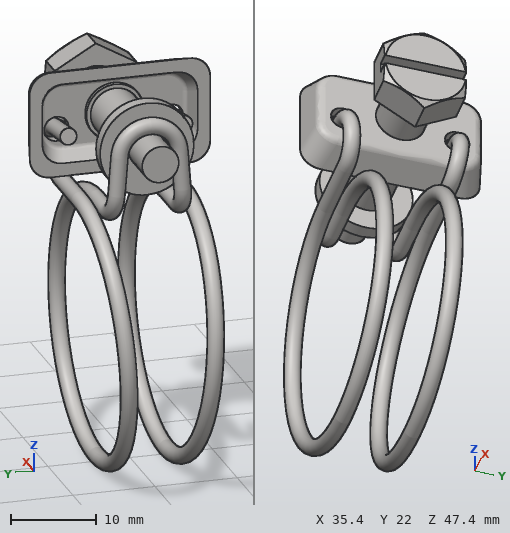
import cadquery as cq
import math


wire_dia = 2.0
wire_radius = wire_dia / 2
ring_radius = 16.0
inner_run_y = 4.25
outer_run_y = 6.3
inner_run_length = 4.2
inner_bend_radius = 3.0
leg_lean = math.radians(4.5)
hook_start_x = 7.5
hook_radius = 3.2
hook_turn = math.radians(171.5)
hook_lean = math.radians(6.0)
tail_length = 6.0

overall_top_z = 30.35
screw_end_x = 18.4
screw_length = 30.0
head_thickness = 4.1
head_across_flats = 10.0
head_corner_radius = head_across_flats / 2 / math.cos(math.radians(30))
head_face_radius = 4.9
head_chamfer_length = 0.6
slot_width = 1.2
slot_depth = 1.65
shank_dia = 6.0
tip_dia = 4.45
collar_dia = 11.4
collar_thickness = 1.7

bridge_width = 22.0
bridge_height = 13.0
bridge_depth = 4.0
bridge_rim_x = 4.6
bridge_wall = 1.5
bridge_corner_radius = 2.5
side_taper = math.radians(15.0)
top_taper = math.radians(20.0)
bridge_edge_fillet = 1.0
pocket_floor_fillet = 0.5
screw_hole_dia = shank_dia
screw_boss_dia = 7.0
screw_boss_height = 0.6
tail_hole_dia = 3.0

screw_z = overall_top_z - bridge_height / 2
loop_plane_x = -inner_run_length - inner_bend_radius
collar_x = loop_plane_x + wire_radius
hook_top_rise = hook_radius * (1 - math.cos(hook_turn))
tail_hole_y = outer_run_y + hook_top_rise * math.sin(hook_lean)
tail_hole_z = ring_radius + hook_top_rise * math.cos(hook_lean)


def leaning_point(x, rise, run_y, lean):
    """Point at a height `rise` above a straight run, in a plane leaning outwards about that run."""
    return cq.Vector(x, run_y + rise * math.sin(lean), ring_radius + rise * math.cos(lean))


def wire_half_path():
    """Centreline on the +Y side: tail, hook, ring, bend, leg and half of the loop."""

    def hook_point(turn):
        x = hook_start_x + hook_radius * math.sin(turn)
        return leaning_point(x, hook_radius * (1 - math.cos(turn)), outer_run_y, hook_lean)

    hook_end = hook_point(hook_turn)
    tail_end = leaning_point(
        hook_end.x + tail_length * math.cos(hook_turn),
        hook_top_rise + tail_length * math.sin(hook_turn),
        outer_run_y,
        hook_lean,
    )
    tail = cq.Edge.makeLine(tail_end, hook_end)
    hook = cq.Edge.makeThreePointArc(hook_end, hook_point(hook_turn / 2), hook_point(0))

    outer_top = cq.Vector(0, outer_run_y, ring_radius)
    ring_bottom = cq.Vector(0, inner_run_y, -ring_radius)
    inner_top = cq.Vector(0, inner_run_y, ring_radius)
    crossing_radius = math.hypot(ring_radius, (outer_run_y - inner_run_y) / 2)
    crossing_middle = cq.Vector(-crossing_radius, (outer_run_y + inner_run_y) / 2, 0)
    outer_run = cq.Edge.makeLine(hook_point(0), outer_top)
    descending_half = cq.Edge.makeThreePointArc(outer_top, crossing_middle, ring_bottom)
    rising_half = cq.Edge.makeThreePointArc(ring_bottom, cq.Vector(ring_radius, inner_run_y, 0), inner_top)

    def bend_point(turn):
        x = -inner_run_length - inner_bend_radius * math.sin(turn)
        return leaning_point(x, inner_bend_radius * (1 - math.cos(turn)), inner_run_y, -leg_lean)

    bend_end = bend_point(math.pi / 2)
    inner_run = cq.Edge.makeLine(inner_top, bend_point(0))
    bend = cq.Edge.makeThreePointArc(bend_point(0), bend_point(math.pi / 4), bend_end)

    loop_top_z = screw_z + tip_dia / 2 + wire_radius
    loop_rise = loop_top_z - ring_radius
    leg_offset = inner_run_y * math.cos(leg_lean) - loop_rise * math.sin(leg_lean)
    loop_radius = leg_offset / (1 - math.sin(leg_lean))

    def loop_point(angle):
        z = loop_top_z - loop_radius + loop_radius * math.sin(angle)
        return cq.Vector(loop_plane_x, loop_radius * math.cos(angle), z)

    leg = cq.Edge.makeLine(bend_end, loop_point(leg_lean))
    loop_middle_angle = (leg_lean + math.pi / 2) / 2
    half_loop = cq.Edge.makeThreePointArc(
        loop_point(leg_lean), loop_point(loop_middle_angle), loop_point(math.pi / 2)
    )
    edges = [tail, hook, outer_run, descending_half, rising_half, inner_run, bend, leg, half_loop]
    return cq.Wire.assembleEdges(edges)


def make_wire_clamp():
    path = wire_half_path()
    section_plane = cq.Plane(origin=path.startPoint(), xDir=(0, 1, 0), normal=path.tangentAt(0))
    half = cq.Workplane(section_plane).circle(wire_radius).sweep(cq.Workplane(obj=path))
    return half.union(half.mirror("XZ"))


def cylinder_along_x(diameter, start_x, end_x, y=0.0, z=screw_z):
    plane = cq.Workplane("YZ", origin=(start_x, y, z))
    return plane.circle(diameter / 2).extrude(end_x - start_x)


def make_screw():
    """Slotted hexagon screw with a collar and a reduced tip."""
    head_x = screw_end_x - head_thickness
    tip = cylinder_along_x(tip_dia, screw_end_x - screw_length, collar_x)
    collar = cylinder_along_x(collar_dia, collar_x, collar_x + collar_thickness)
    shank = cylinder_along_x(shank_dia, collar_x, head_x)
    head = (
        cq.Workplane("YZ", origin=(head_x, 0, screw_z))
        .transformed(rotate=(0, 0, 90))
        .polygon(6, 2 * head_corner_radius)
        .extrude(head_thickness)
    )
    turned_blank = (
        cq.Workplane("XZ", origin=(0, 0, screw_z))
        .moveTo(head_x, 0)
        .lineTo(head_x, head_corner_radius)
        .lineTo(screw_end_x - head_chamfer_length, head_corner_radius)
        .lineTo(screw_end_x, head_face_radius)
        .lineTo(screw_end_x, 0)
        .close()
        .revolve(360, (0, 0, 0), (1, 0, 0))
    )
    slot = cq.Workplane("XY", origin=(screw_end_x - slot_depth / 2, 0, screw_z)).box(
        slot_depth, 2 * head_corner_radius, slot_width
    )
    return tip.union(collar).union(shank).union(head.intersect(turned_blank).cut(slot))


def tapered_block(rim_width, rim_height, depth):
    """Rounded block that narrows from the rim towards +X."""

    def rounded_section(distance):
        width = rim_width - 2 * distance * math.tan(side_taper)
        height = rim_height - 2 * distance * math.tan(top_taper)
        return cq.Sketch().rect(width, height).vertices().fillet(bridge_corner_radius)

    rim = rounded_section(0)
    end = rounded_section(depth).moved(cq.Location(cq.Vector(0, 0, depth)))
    return cq.Workplane("YZ", origin=(bridge_rim_x, 0, screw_z)).placeSketch(rim, end).loft(ruled=True)


def make_bridge():
    """Tapered cup with a bossed hole for the screw and a hole for each wire tail."""
    outside = tapered_block(bridge_width, bridge_height, bridge_depth)
    outside = outside.faces(">X").edges().fillet(bridge_edge_fillet)
    pocket = tapered_block(
        bridge_width - 2 * bridge_wall / math.cos(side_taper),
        bridge_height - 2 * bridge_wall / math.cos(top_taper),
        bridge_depth - bridge_wall,
    )
    pocket = pocket.faces(">X").edges().fillet(pocket_floor_fillet)
    bridge_end_x = bridge_rim_x + bridge_depth
    floor_x = bridge_end_x - bridge_wall
    boss = cylinder_along_x(screw_boss_dia, floor_x - screw_boss_height, floor_x)
    screw_hole = cylinder_along_x(screw_hole_dia, bridge_rim_x, bridge_end_x)
    bridge = outside.cut(pocket).union(boss).cut(screw_hole)
    for side in (1, -1):
        hole = cylinder_along_x(tail_hole_dia, bridge_rim_x, bridge_end_x, side * tail_hole_y, tail_hole_z)
        bridge = bridge.cut(hole)
    return bridge


wire_clamp = make_wire_clamp()
screw = make_screw()
bridge = make_bridge()

result = cq.Compound.makeCompound(
    [*wire_clamp.solids().vals(), *screw.solids().vals(), *bridge.solids().vals()]
)